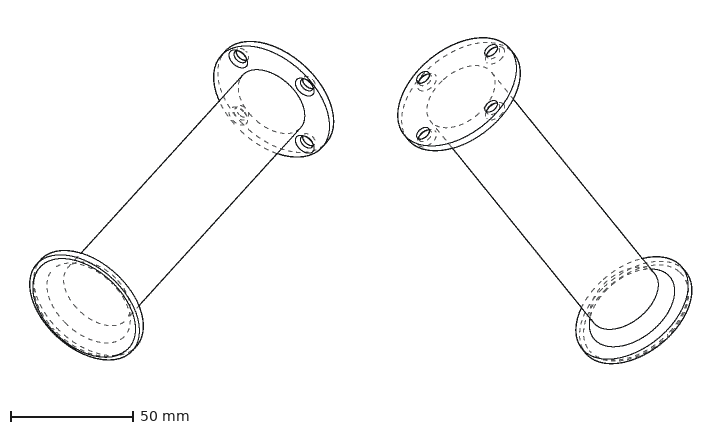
import cadquery as cq

total_length = 150.0
flange_diameter = 56.0
flange_thickness = 3.3

tube_diameter = 32.1
flare_diameter = 40.2
flare_length = 6.5
flare_mid_fraction = 0.5
flare_hollow = 0.2

plate_diameter = 53.0
plate_thickness = 3.2
face_diameter = 49.2
face_height = 1.4
face_edge_radius = 1.0

hole_count = 4
hole_circle_diameter = 45.3
hole_diameter = 6.0
countersink_diameter = 9.0
countersink_angle = 90.0

front_y = -total_length / 2
back_y = total_length / 2
plate_front_y = front_y + face_height
plate_back_y = plate_front_y + plate_thickness
flare_end_y = plate_back_y + flare_length
flange_front_y = back_y - flange_thickness


def disc(diameter, start_y, end_y):
    """Solid cylinder on the Y axis between two stations."""
    sketch = cq.Workplane("XZ", origin=(0, start_y, 0)).circle(diameter / 2)
    return sketch.extrude(start_y - end_y)


def make_flare():
    """Slightly hollow cone that widens from the tube to the end plate."""
    tube_radius = tube_diameter / 2
    flare_radius = flare_diameter / 2
    mid_radius = tube_radius + flare_mid_fraction * (flare_radius - tube_radius) - flare_hollow
    mid_y = plate_back_y + flare_mid_fraction * flare_length
    return (
        cq.Workplane("XY")
        .moveTo(0, plate_back_y)
        .lineTo(flare_radius, plate_back_y)
        .threePointArc((mid_radius, mid_y), (tube_radius, flare_end_y))
        .lineTo(0, flare_end_y)
        .close()
        .revolve(360, (0, 0, 0), (0, 1, 0))
    )


def make_flange():
    """Wall flange with screw holes countersunk from the tube side."""
    return (
        disc(flange_diameter, flange_front_y, back_y)
        .faces("<Y")
        .workplane(centerOption="CenterOfBoundBox")
        .polarArray(hole_circle_diameter / 2, 45, 360, hole_count)
        .cskHole(hole_diameter, countersink_diameter, countersink_angle)
    )


raised_face = disc(face_diameter, front_y, plate_front_y).faces("<Y").edges().fillet(face_edge_radius)
end_plate = disc(plate_diameter, plate_front_y, plate_back_y)
tube = disc(tube_diameter, plate_back_y, flange_front_y)

result = raised_face.union(end_plate).union(make_flare()).union(tube).union(make_flange())